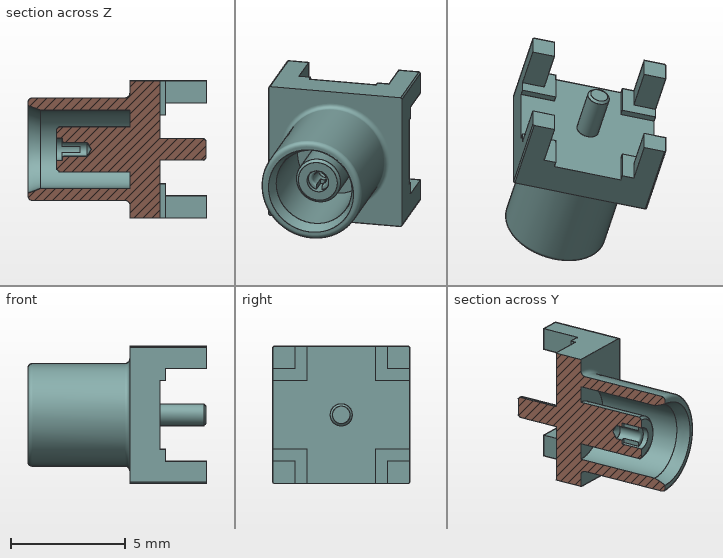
import cadquery as cq

total_length = 7.8
flange_side = 6.0
flange_front = 4.445
edge_chamfer = 0.06

leg_root = 6.01
recess_floor = 5.77
leg_gap = 4.04
recess_side = 2.995

barrel_radius = 2.25
barrel_round = 0.2
mouth_radius = 1.91
socket_radius = 1.7
mouth_depth = 0.55
socket_floor = 4.445

insulator_radius = 0.99
insulator_chamfer = 0.12
insulator_front = 1.25

contact_radius = 0.48
contact_recess = 0.25
contact_front = insulator_front + contact_recess
contact_rear = 7.78
contact_rear_chamfer = 0.1
bore_radius = 0.3
bore_mouth_round = 0.09
bore_depth = 1.09
bore_cone_length = 0.17
slot_width = 0.26
slot_depth = 0.78


def cylinder(start, end, radius):
    """Solid cylinder on the X axis between two X positions."""
    return cq.Workplane("YZ", origin=(start, 0, 0)).circle(radius).extrude(end - start)


def box(start, end, width, height):
    """Box centred on the X axis between two X positions."""
    return cq.Workplane("YZ", origin=(start, 0, 0)).rect(width, height).extrude(end - start)


def revolve_profile(points):
    """Revolve a closed outline of (X, radius) points about the X axis."""
    return cq.Workplane("XY").polyline(points).close().revolve(360, (0, 0, 0), (1, 0, 0))


def make_flange():
    flange = box(flange_front, total_length, flange_side, flange_side)
    flange = flange.edges("|X").chamfer(edge_chamfer)
    flange = flange.cut(box(leg_root, total_length, leg_gap, flange_side))
    flange = flange.cut(box(leg_root, total_length, flange_side, leg_gap))
    flange = flange.cut(box(recess_floor, leg_root, recess_side, flange_side))
    return flange.cut(box(recess_floor, leg_root, flange_side, recess_side))


def make_barrel():
    """Barrel with a rounded rim and a concave round at the flange."""
    round_start = flange_front - barrel_round
    foot_radius = barrel_radius + barrel_round
    diagonal = barrel_round * (1 - 0.5 ** 0.5)
    outline = (
        cq.Workplane("XY")
        .moveTo(0, 0)
        .lineTo(0, barrel_radius - barrel_round)
        .threePointArc((diagonal, barrel_radius - diagonal), (barrel_round, barrel_radius))
        .lineTo(round_start, barrel_radius)
        .threePointArc((flange_front - diagonal, barrel_radius + diagonal), (flange_front, foot_radius))
        .lineTo(flange_front, 0)
        .close()
    )
    return outline.revolve(360, (0, 0, 0), (1, 0, 0))


def make_socket():
    """Space inside the barrel, with a tapered mouth."""
    return revolve_profile([
        (0, 0),
        (0, mouth_radius),
        (mouth_depth, socket_radius),
        (socket_floor, socket_radius),
        (socket_floor, 0),
    ])


def make_insulator():
    insulator = cylinder(insulator_front, socket_floor, insulator_radius)
    insulator = insulator.faces("<X").chamfer(insulator_chamfer)
    return insulator.cut(cylinder(insulator_front, contact_front, contact_radius))


def make_contact():
    contact = cylinder(contact_front, contact_rear, contact_radius)
    return contact.faces(">X").chamfer(contact_rear_chamfer)


def make_contact_bore():
    """Blind bore with a rounded mouth and a conical bottom."""
    bore_end = contact_front + bore_depth
    diagonal = bore_mouth_round * (1 - 0.5 ** 0.5)
    outline = (
        cq.Workplane("XY")
        .moveTo(contact_front, 0)
        .lineTo(contact_front, bore_radius + bore_mouth_round)
        .threePointArc(
            (contact_front + diagonal, bore_radius + diagonal),
            (contact_front + bore_mouth_round, bore_radius),
        )
        .lineTo(bore_end, bore_radius)
        .lineTo(bore_end + bore_cone_length, 0)
        .close()
    )
    return outline.revolve(360, (0, 0, 0), (1, 0, 0))


def make_contact_slot():
    """Slot that splits the contact tip into two fingers."""
    slot_end = contact_front + slot_depth
    slot = box(contact_front, slot_end, slot_width, 2 * contact_radius)
    return slot.intersect(cylinder(contact_front, slot_end, contact_radius))


body = make_flange().union(make_barrel()).cut(make_socket())
body = body.union(make_insulator()).union(make_contact())
result = body.cut(make_contact_bore()).cut(make_contact_slot())